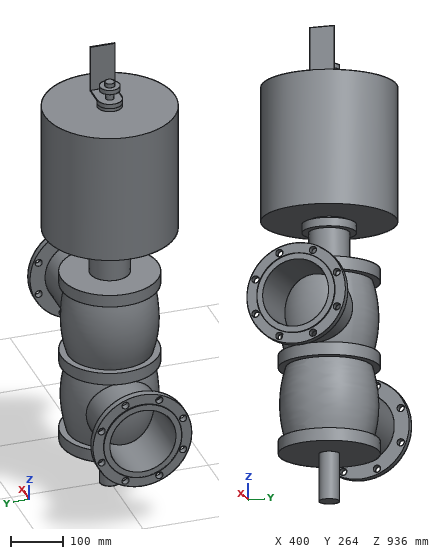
import cadquery as cq

TOTAL_HEIGHT = 936.0
LOWER_COLLAR_Z = 94.5
COLLAR_HEIGHT = 25.0
CHAMBER_HEIGHT = 146.0
NECK_TOP_Z = 535.0
NECK_RING_TOP_Z = 552.0
ACTUATOR_BASE_Z = 558.0
ACTUATOR_TOP_Z = 825.0
SEAT_TOP_Z = 832.0
BRACKET_TOP_Z = 841.0
DISC_BASE_Z = 860.0
DISC_TOP_Z = 869.0
CAP_TOP_Z = 878.0

STEM_DIAMETER = 40.0
COLLAR_DIAMETER = 196.5
CHAMBER_END_DIAMETER = 168.0
CHAMBER_MIDDLE_DIAMETER = 191.0
NECK_DIAMETER = 80.0
NECK_RING_DIAMETER = 105.0
ACTUATOR_DIAMETER = 264.0

PORT_REACH = 400.0 / 2
PIPE_DIAMETER = 139.0
BORE_DIAMETER = 134.0
FLANGE_DIAMETER = 200.0
FLANGE_BACK_X = 182.0
RAISED_FACE_DIAMETER = 158.0
RAISED_FACE_HEIGHT = 3.0
BOLT_HOLE_DIAMETER = 14.0
BOLT_CIRCLE_DIAMETER = 179.0
BOLT_COUNT = 8

SEAT_DIAMETER = 50.0
SPINDLE_DIAMETER = 16.0
DISC_DIAMETER = 40.0
CAP_DIAMETER = 20.0
BRACKET_THICKNESS = 3.0
BRACKET_WIDTH = SEAT_DIAMETER
BRACKET_END_X = 44.0

STACK_PITCH = COLLAR_HEIGHT + CHAMBER_HEIGHT
LOWER_CHAMBER_Z = LOWER_COLLAR_Z + COLLAR_HEIGHT
UPPER_CHAMBER_Z = LOWER_CHAMBER_Z + STACK_PITCH
UPPER_COLLAR_TOP_Z = UPPER_CHAMBER_Z + CHAMBER_HEIGHT + COLLAR_HEIGHT


def upright_cylinder(diameter, bottom, top):
    """Cylinder on the vertical axis between two levels."""
    return cq.Workplane("XY").workplane(offset=bottom).circle(diameter / 2).extrude(top - bottom)


def side_cylinder(diameter, start, end, z):
    """Cylinder parallel to +X at height z."""
    return cq.Workplane("YZ", origin=(start, 0, z)).circle(diameter / 2).extrude(end - start)


def chamber(bottom):
    """Solid barrel whose side bulges outward in an arc."""
    top = bottom + CHAMBER_HEIGHT
    end_radius = CHAMBER_END_DIAMETER / 2
    return (
        cq.Workplane("XZ")
        .moveTo(0, bottom)
        .lineTo(end_radius, bottom)
        .threePointArc((CHAMBER_MIDDLE_DIAMETER / 2, (bottom + top) / 2), (end_radius, top))
        .lineTo(0, top)
        .close()
        .revolve(360, (0, 0), (0, 1))
    )


def bolt_holes(z):
    """Ring of hole cutters straddling the flange's vertical centre line."""
    return (
        cq.Workplane("YZ", origin=(FLANGE_BACK_X, 0, z))
        .polarArray(BOLT_CIRCLE_DIAMETER / 2, 180 / BOLT_COUNT, 360, BOLT_COUNT)
        .circle(BOLT_HOLE_DIAMETER / 2)
        .extrude(PORT_REACH - FLANGE_BACK_X)
    )


def port(chamber_bottom):
    """Flanged pipe toward +X, with a bore that stops at the chamber's surface."""
    z = chamber_bottom + CHAMBER_HEIGHT / 2
    flange_face_x = PORT_REACH - RAISED_FACE_HEIGHT
    pipe = side_cylinder(PIPE_DIAMETER, 0, FLANGE_BACK_X, z)
    flange = side_cylinder(FLANGE_DIAMETER, FLANGE_BACK_X, flange_face_x, z)
    raised_face = side_cylinder(RAISED_FACE_DIAMETER, flange_face_x, PORT_REACH, z)
    bore = side_cylinder(BORE_DIAMETER, 0, PORT_REACH, z)
    return pipe.union(flange).union(raised_face).cut(bore).cut(bolt_holes(z))


def make_valve():
    """Valve housing with its ports, neck, actuator and lower stem."""
    valve = upright_cylinder(STEM_DIAMETER, 0, LOWER_COLLAR_Z)
    for level in range(3):
        bottom = LOWER_COLLAR_Z + level * STACK_PITCH
        valve = valve.union(upright_cylinder(COLLAR_DIAMETER, bottom, bottom + COLLAR_HEIGHT))
    lower_port = port(LOWER_CHAMBER_Z).rotate((0, 0, 0), (0, 0, 1), 180)
    for side_port in (lower_port, port(UPPER_CHAMBER_Z)):
        valve = valve.union(side_port)
    for bottom in (LOWER_CHAMBER_Z, UPPER_CHAMBER_Z):
        valve = valve.union(chamber(bottom))
    for diameter, bottom, top in (
        (NECK_DIAMETER, UPPER_COLLAR_TOP_Z, ACTUATOR_BASE_Z),
        (NECK_RING_DIAMETER, NECK_TOP_Z, NECK_RING_TOP_Z),
        (ACTUATOR_DIAMETER, ACTUATOR_BASE_Z, ACTUATOR_TOP_Z),
        (SEAT_DIAMETER, ACTUATOR_TOP_Z, SEAT_TOP_Z),
    ):
        valve = valve.union(upright_cylinder(diameter, bottom, top))
    return valve


def make_bracket():
    """L-shaped sheet with a rounded foot and a tall upright."""
    foot_bottom_z = BRACKET_TOP_Z - BRACKET_THICKNESS
    half_width = BRACKET_WIDTH / 2
    foot = (
        cq.Workplane("XY")
        .workplane(offset=foot_bottom_z)
        .moveTo(0, half_width)
        .threePointArc((-half_width, 0), (0, -half_width))
        .lineTo(BRACKET_END_X, -half_width)
        .lineTo(BRACKET_END_X, half_width)
        .close()
        .extrude(BRACKET_THICKNESS)
    )
    upright = (
        cq.Workplane("XY")
        .box(BRACKET_THICKNESS, BRACKET_WIDTH, TOTAL_HEIGHT - foot_bottom_z, centered=(False, True, False))
        .translate((BRACKET_END_X - BRACKET_THICKNESS, 0, foot_bottom_z))
    )
    return foot.union(upright)


def make_indicator():
    """Spindle with base, disc and cap, carrying the bracket."""
    indicator = make_bracket()
    for diameter, bottom, top in (
        (SEAT_DIAMETER, SEAT_TOP_Z, BRACKET_TOP_Z - BRACKET_THICKNESS),
        (SPINDLE_DIAMETER, BRACKET_TOP_Z, DISC_BASE_Z),
        (DISC_DIAMETER, DISC_BASE_Z, DISC_TOP_Z),
        (CAP_DIAMETER, DISC_TOP_Z, CAP_TOP_Z),
    ):
        indicator = indicator.union(upright_cylinder(diameter, bottom, top))
    return indicator


valve = make_valve()
indicator = make_indicator()
result = cq.Compound.makeCompound([*valve.solids().vals(), *indicator.solids().vals()])